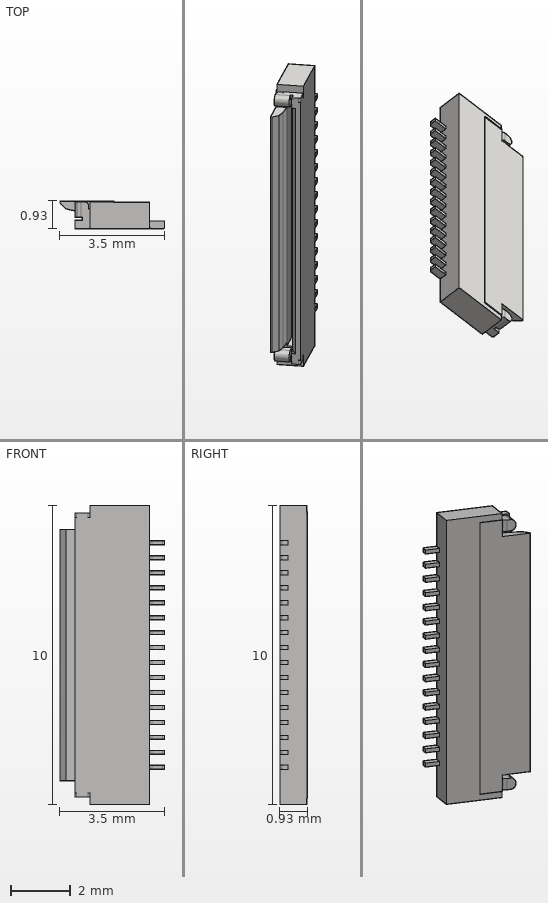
import cadquery as cq

length = 10.0
height = 0.9
shoulder_x = 0.5
rear_x = 2.5

ledge_half_length = 4.6
ledge_height = 0.3
mouth_half_length = 4.31
lead_in = 0.13
lead_in_flare = 0.07

slot_end_x = 1.3
slot_roof = 0.56

lid_top = 0.93
lip_half_length = 4.2
plate_half_length = 4.78
lip_underside = [(-0.5, 0.87), (-0.3, 0.67), (0, 0.6), (shoulder_x, slot_roof)]

bracket_outer_z = 4.75
bracket_thickness = bracket_outer_z - ledge_half_length
hook_bottom = 0.39
hook_radius = 0.2
hook_rear_x = 0.46
hook_corner_radius = 0.13
corner_gap_bottom = 0.68
relief_end_x = 0.24
foot_corner_radius = 0.06

tail_count = 16
tail_pitch = 0.5
tail_length = 0.5
tail_height = 0.27
tail_width = 0.14
tail_corner_radius = 0.07


def block(x_range, y_range, half_length):
    """Box centered on Z = 0 between the given X and Y limits."""
    x0, x1 = x_range
    y0, y1 = y_range
    return (
        cq.Workplane("XY", origin=(x0, y0, 0))
        .rect(x1 - x0, y1 - y0, centered=False)
        .extrude(half_length, both=True)
    )


def make_housing():
    body = block((shoulder_x, rear_x), (0, height), length / 2)
    ledge = block((0, shoulder_x), (0, ledge_height), ledge_half_length)
    slot = block((shoulder_x, slot_end_x), (ledge_height, slot_roof), mouth_half_length)
    return body.union(ledge).cut(slot)


def make_lead_in():
    """Tapered cutter that widens the mouth toward its front edge."""
    mouth_half_at_front = mouth_half_length + lead_in_flare
    ramp = (
        cq.Workplane("XY")
        .polyline([(0, ledge_height), (0, ledge_height - lead_in), (lead_in, ledge_height)])
        .close()
        .extrude(mouth_half_at_front, both=True)
    )
    flare = (
        cq.Workplane("XZ", origin=(0, ledge_height, 0))
        .polyline(
            [
                (0, -mouth_half_at_front),
                (lead_in, -mouth_half_length),
                (lead_in, mouth_half_length),
                (0, mouth_half_at_front),
            ]
        )
        .close()
        .extrude(lead_in)
    )
    return ramp.intersect(flare)


def make_lid():
    lip_tip_x = lip_underside[0][0]
    lip = (
        cq.Workplane("XY")
        .polyline([(shoulder_x, lid_top), (lip_tip_x, lid_top)] + lip_underside)
        .close()
        .extrude(lip_half_length, both=True)
    )
    plate = block((shoulder_x, slot_end_x), (height, lid_top), plate_half_length)
    return lip.union(plate)


def make_bracket():
    """Bracket at the +Z end: a foot plate with a round-nosed hook above a relief slot."""
    foot = (
        cq.Workplane("XY", origin=(0, 0, ledge_half_length))
        .rect(shoulder_x, ledge_height, centered=False)
        .extrude(bracket_thickness)
        .edges("|Z and <Y")
        .fillet(foot_corner_radius)
    )
    web = (
        cq.Workplane("XY", origin=(relief_end_x, 0, ledge_half_length))
        .rect(shoulder_x - relief_end_x, corner_gap_bottom, centered=False)
        .extrude(bracket_thickness)
        .edges("|Z and <Y and >X")
        .fillet(foot_corner_radius)
    )
    hook = (
        cq.Workplane("XY", origin=(0, hook_bottom, bracket_outer_z - 2 * hook_radius))
        .rect(hook_rear_x, height - hook_bottom, centered=False)
        .extrude(2 * hook_radius)
        .edges("|Z and >X and >Y")
        .fillet(hook_corner_radius)
    )
    nose = (
        cq.Workplane("XZ", origin=(0, height, bracket_outer_z - hook_radius))
        .moveTo(hook_radius, hook_radius)
        .threePointArc((0, 0), (hook_radius, -hook_radius))
        .lineTo(shoulder_x, -hook_radius)
        .lineTo(shoulder_x, hook_radius)
        .close()
        .extrude(height)
    )
    return foot.union(web).union(hook.intersect(nose))


def make_tail(z):
    return (
        cq.Workplane("XY", origin=(rear_x, 0, z - tail_width / 2))
        .rect(tail_length, tail_height, centered=False)
        .extrude(tail_width)
        .edges("|Z and <Y")
        .fillet(tail_corner_radius)
    )


result = make_housing().cut(make_lead_in()).union(make_lid())

upper_bracket = make_bracket()
result = result.union(upper_bracket).union(upper_bracket.mirror("XY"))

for index in range(tail_count):
    result = result.union(make_tail((index - (tail_count - 1) / 2) * tail_pitch))